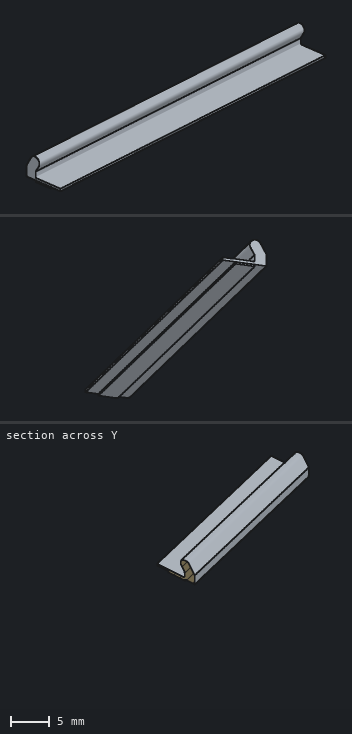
import cadquery as cq
import math

length = 50.0
width = 6.0
plate_thickness = 0.4
strip_height = 0.25
strip_start = 1.6
strip_width = 2.65
strip_setback = 0.05
stem_width = 1.65
root_radius = 0.15
lip_height = 3.45
lip_radius = 0.8
lip_center_x = 1.5
lean_angle = math.radians(60)

lip_center_z = lip_height - lip_radius
lean_slope = math.tan(lean_angle)
tangent_dx = lip_radius * math.sin(lean_angle)
tangent_dz = lip_radius * math.cos(lean_angle)
outer_tangent = (lip_center_x - tangent_dx, lip_center_z + tangent_dz)
inner_tangent = (lip_center_x + tangent_dx, lip_center_z - tangent_dz)
lip_far_point = (lip_center_x + tangent_dz, lip_center_z + tangent_dx)
outer_bend_z = outer_tangent[1] - outer_tangent[0] * lean_slope
inner_bend_z = inner_tangent[1] - (inner_tangent[0] - stem_width) * lean_slope


def make_rail():
    """Thin plate with a leaning, round-topped lip, extruded along Y."""
    profile = (
        cq.Workplane("XZ")
        .lineTo(width, 0)
        .lineTo(width, plate_thickness)
        .lineTo(stem_width + root_radius, plate_thickness)
        .radiusArc((stem_width, plate_thickness + root_radius), root_radius)
        .lineTo(stem_width, inner_bend_z)
        .lineTo(*inner_tangent)
        .threePointArc(lip_far_point, outer_tangent)
        .lineTo(0, outer_bend_z)
        .close()
    )
    return profile.extrude(length / 2, both=True)


def make_strip():
    """Raised strip on the underside of the plate."""
    strip = cq.Workplane("XY").box(
        strip_width, length - 2 * strip_setback, strip_height, centered=(False, True, False)
    )
    return strip.translate((strip_start, 0, -strip_height))


result = make_rail().union(make_strip())